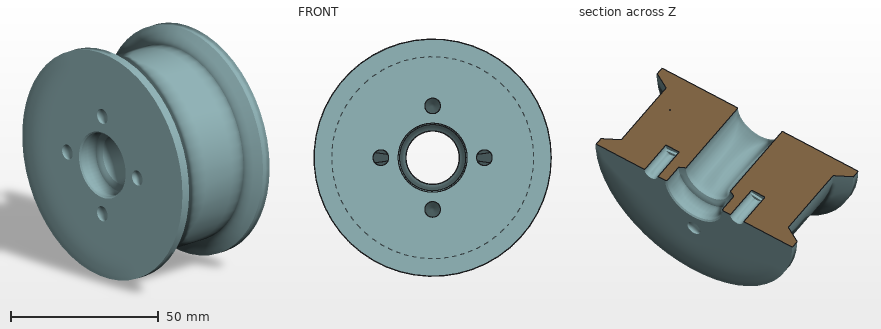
import cadquery as cq
import math

flange_diameter = 80.4
drum_diameter = 68.4
width = 40.0
rim_width = 3.05
flange_slope_angle = 30.0

bore_diameter = 18.0
seat_diameter = 22.4
seat_depth = 7.3
seat_cone_angle = 63.0
mouth_diameter = 23.4
mouth_chamfer_depth = 0.5

hole_diameter = 5.3
hole_circle_radius = 17.5
hole_depth = 12.1
drill_tip_angle = 118.0

groove_depth = 0.8
groove_mid_width = 2.9
groove_half_angle = 8.0

front_y = -width / 2
hole_radius = hole_diameter / 2


def revolve_about_y(points):
    """Revolve a closed (radius, y) outline about the Y axis."""
    return cq.Workplane("XY").polyline(points).close().revolve(360, (0, 0, 0), (0, 1, 0))


def spool_body():
    """Drum between two flanges with sloping inner sides."""
    flange_radius = flange_diameter / 2
    drum_radius = drum_diameter / 2
    back_y = width / 2
    rim_y = back_y - rim_width
    slope_width = (flange_radius - drum_radius) * math.tan(math.radians(flange_slope_angle))
    drum_y = rim_y - slope_width
    return revolve_about_y([
        (0, -back_y),
        (flange_radius, -back_y),
        (flange_radius, -rim_y),
        (drum_radius, -drum_y),
        (drum_radius, drum_y),
        (flange_radius, rim_y),
        (flange_radius, back_y),
        (0, back_y),
    ])


def bore_cutter():
    """Through bore with a conical step, a seat and a chamfered mouth."""
    bore_radius = bore_diameter / 2
    seat_radius = seat_diameter / 2
    mouth_radius = mouth_diameter / 2
    cone_depth = (seat_radius - bore_radius) / math.tan(math.radians(seat_cone_angle))
    seat_end_y = front_y + seat_depth
    return revolve_about_y([
        (0, front_y),
        (mouth_radius, front_y),
        (seat_radius, front_y + mouth_chamfer_depth),
        (seat_radius, seat_end_y),
        (bore_radius, seat_end_y + cone_depth),
        (bore_radius, width / 2),
        (0, width / 2),
    ])


def drilled_hole_cutter():
    """Hole along the Y axis with a conical drill tip."""
    tip_depth = hole_radius / math.tan(math.radians(drill_tip_angle / 2))
    floor_y = front_y + hole_depth
    return revolve_about_y([
        (0, front_y),
        (hole_radius, front_y),
        (hole_radius, floor_y),
        (0, floor_y + tip_depth),
    ])


def grooved_hole_cutter():
    """Flat-bottomed hole along the Y axis with a floor groove that widens towards +X."""
    groove_floor_y = front_y + hole_depth + groove_depth
    groove_plane = cq.Workplane("XZ", origin=(0, groove_floor_y, 0))
    spread = hole_diameter * math.tan(math.radians(groove_half_angle))
    narrow = groove_mid_width / 2 - spread
    wide = groove_mid_width / 2 + spread
    hole = groove_plane.circle(hole_radius).extrude(hole_depth + groove_depth)
    for side in (-1, 1):
        shelf = (
            groove_plane
            .polyline([
                (-hole_diameter, side * narrow),
                (hole_diameter, side * wide),
                (hole_diameter, side * hole_diameter),
                (-hole_diameter, side * hole_diameter),
            ])
            .close()
            .extrude(groove_depth)
        )
        hole = hole.cut(shelf)
    return hole


def place_on_hole_circle(cutter, angle):
    """Move a cutter out along +X and swing it about the Y axis."""
    return cutter.translate((hole_circle_radius, 0, 0)).rotate((0, 0, 0), (0, 1, 0), angle)


result = spool_body().cut(bore_cutter())
for side_angle in (0, 180):
    result = result.cut(place_on_hole_circle(grooved_hole_cutter(), side_angle))
    result = result.cut(place_on_hole_circle(drilled_hole_cutter(), side_angle + 90))